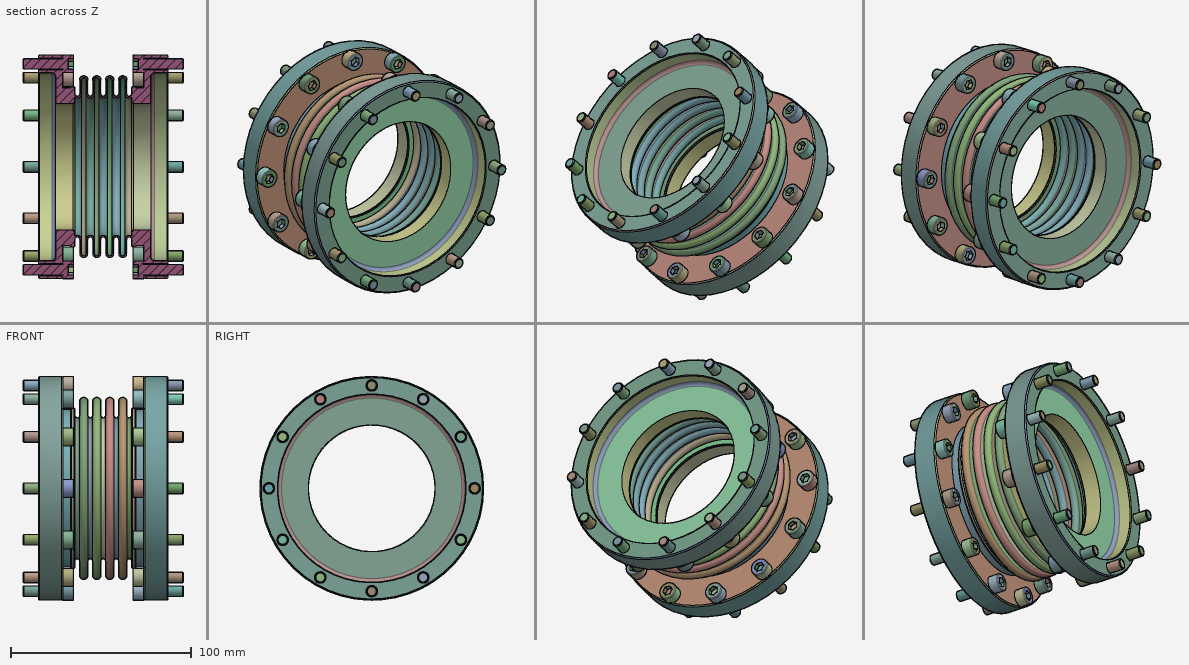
import cadquery as cq
import math


flange_diameter = 124.0
flange_outer_x = 36.0
flange_inner_x = 22.38
flange_rim_chamfer = 0.7
recess_diameter = 104.0
recess_depth = 9.6
recess_floor_fillet = 2.0
recess_mouth_chamfer_width = 0.3
recess_mouth_chamfer_depth = 0.8
bore_diameter = 70.0
hub_diameter = 87.4
hub_end_x = 18.2

ring_diameter = 89.0
ring_edge_diameter = 88.0
ring_edge_width = 0.65
ring_relief_diameter = 70.8
ring_relief_depth = 1.1

crest_count = 4
pitch = 7.2
crest_diameter = 101.0
root_diameter = 78.2
wall = 1.1

screw_count = 12
bolt_circle_diameter = 114.0
screw_diameter = 6.0
screw_length = 22.0
screw_tip_chamfer = 0.5
clearance_hole_diameter = 6.4
head_diameter = 10.0
head_height = 6.0
head_edge_fillet = 0.5
socket_across_flats = 5.0
socket_depth = 3.0

wave_outer_radius = pitch / 4 + wall / 2
wave_inner_radius = pitch / 4 - wall / 2
bellows_end_x = crest_count * pitch / 2
ring_inner_x = bellows_end_x + wave_inner_radius
crest_center_radius = crest_diameter / 2 - wave_outer_radius
root_center_radius = root_diameter / 2 + wave_inner_radius
wave_joint_radius = hub_diameter / 2


def revolve_around_x(profile):
    return profile.close().revolve(360, (0, 0, 0), (1, 0, 0))


def make_flange():
    """Flange on the +X side with its recess, hub, weld ring and bore."""
    outer_radius = flange_diameter / 2
    bore_radius = bore_diameter / 2
    recess_radius = recess_diameter / 2
    ring_radius = ring_diameter / 2
    relief_end_x = ring_inner_x + ring_relief_depth
    floor_x = flange_outer_x - recess_depth
    fillet_bulge = recess_floor_fillet * (1 - math.sqrt(0.5))
    profile = (
        cq.Workplane("XY")
        .moveTo(relief_end_x, bore_radius)
        .lineTo(relief_end_x, ring_relief_diameter / 2)
        .lineTo(ring_inner_x, ring_relief_diameter / 2)
        .lineTo(ring_inner_x, ring_edge_diameter / 2)
        .lineTo(ring_inner_x + ring_edge_width, ring_radius)
        .lineTo(hub_end_x - ring_edge_width, ring_radius)
        .lineTo(hub_end_x, ring_edge_diameter / 2)
        .lineTo(hub_end_x, hub_diameter / 2)
        .lineTo(flange_inner_x, hub_diameter / 2)
        .lineTo(flange_inner_x, outer_radius - flange_rim_chamfer)
        .lineTo(flange_inner_x + flange_rim_chamfer, outer_radius)
        .lineTo(flange_outer_x - flange_rim_chamfer, outer_radius)
        .lineTo(flange_outer_x, outer_radius - flange_rim_chamfer)
        .lineTo(flange_outer_x, recess_radius + recess_mouth_chamfer_width)
        .lineTo(flange_outer_x - recess_mouth_chamfer_depth, recess_radius)
        .lineTo(floor_x + recess_floor_fillet, recess_radius)
        .threePointArc(
            (floor_x + fillet_bulge, recess_radius - fillet_bulge),
            (floor_x, recess_radius - recess_floor_fillet),
        )
        .lineTo(floor_x, bore_radius)
    )
    return revolve_around_x(profile)


def bellows_wave(center_x, center_radius, side):
    """One U-shaped wave of the wall; side is +1 for a crest and -1 for a root."""
    outer_tip = (center_x, center_radius + side * wave_outer_radius)
    inner_tip = (center_x, center_radius + side * wave_inner_radius)
    profile = (
        cq.Workplane("XY")
        .moveTo(center_x - wave_outer_radius, wave_joint_radius)
        .lineTo(center_x - wave_outer_radius, center_radius)
        .threePointArc(outer_tip, (center_x + wave_outer_radius, center_radius))
        .lineTo(center_x + wave_outer_radius, wave_joint_radius)
        .lineTo(center_x + wave_inner_radius, wave_joint_radius)
        .lineTo(center_x + wave_inner_radius, center_radius)
        .threePointArc(inner_tip, (center_x - wave_inner_radius, center_radius))
        .lineTo(center_x - wave_inner_radius, wave_joint_radius)
    )
    return revolve_around_x(profile)


def make_bellows():
    """Corrugated sheet of constant wall, alternating roots and crests along X."""
    waves = []
    for index in range(crest_count + 1):
        root_x = -bellows_end_x + index * pitch
        waves.append(bellows_wave(root_x, root_center_radius, -1))
    for index in range(crest_count):
        crest_x = -bellows_end_x + (index + 0.5) * pitch
        waves.append(bellows_wave(crest_x, crest_center_radius, 1))
    bellows = waves[0]
    for wave in waves[1:]:
        bellows = bellows.union(wave)
    return bellows


def make_screw():
    """Socket head screw along X, its head seated on the flange's inner face."""
    seat = cq.Workplane("YZ").workplane(offset=flange_inner_x)
    shank = seat.circle(screw_diameter / 2).extrude(screw_length).faces(">X").chamfer(screw_tip_chamfer)
    head = seat.circle(head_diameter / 2).extrude(-head_height).faces("<X").edges().fillet(head_edge_fillet)
    socket_corner_diameter = socket_across_flats / math.cos(math.pi / 6)
    socket = (
        cq.Workplane("YZ")
        .workplane(offset=flange_inner_x - head_height)
        .polygon(6, socket_corner_diameter)
        .extrude(socket_depth)
    )
    return shank.union(head).cut(socket)


def make_clearance_hole():
    return (
        cq.Workplane("YZ")
        .workplane(offset=flange_inner_x)
        .circle(clearance_hole_diameter / 2)
        .extrude(flange_outer_x - flange_inner_x)
    )


def around_bolt_circle(body):
    """Copies of a body on the X axis, spread around the bolt circle."""
    shifted = body.translate((0, bolt_circle_diameter / 2, 0))
    step = 360 / screw_count
    return [shifted.rotate((0, 0, 0), (1, 0, 0), index * step) for index in range(screw_count)]


end_assembly = make_flange()
for hole in around_bolt_circle(make_clearance_hole()):
    end_assembly = end_assembly.cut(hole)
for screw in around_bolt_circle(make_screw()):
    end_assembly = end_assembly.union(screw)

result = make_bellows().union(end_assembly).union(end_assembly.mirror("YZ"))